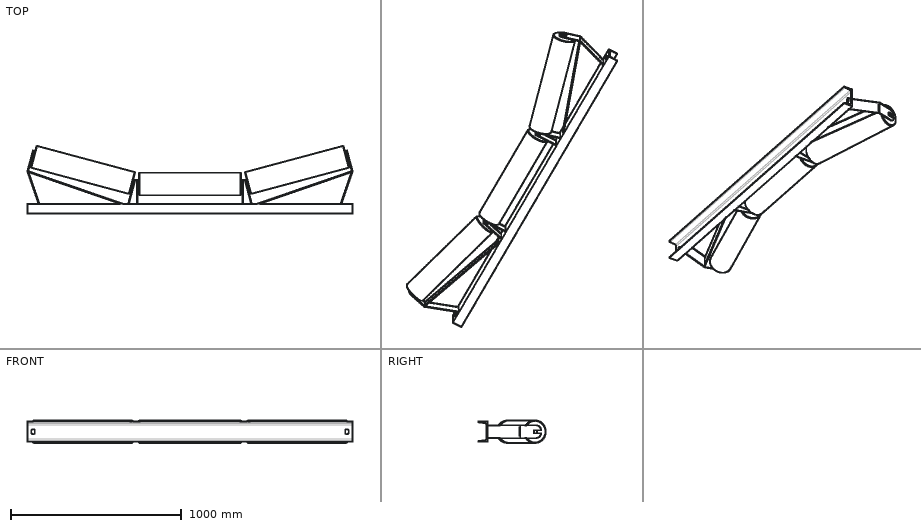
import cadquery as cq
import math

BEAM_LENGTH = 1905.0
BEAM_DEPTH = 57.0
BEAM_WIDTH = 120.0
WEB_THICKNESS = 10.0
FLANGE_TIP = 5.0
FLANGE_ROOT = 11.0
ROOT_RADIUS = 8.0
TOE_RADIUS = 4.0
SLOT_INSET = 35.0
SLOT_LENGTH = 30.0
SLOT_WIDTH = 21.0

ROLLER_DIAMETER = 133.0
ROLLER_LENGTH = 598.0
ROLLER_CHAMFER = 4.0
SPINDLE_SIDE = 20.0
CENTRE_ROLLER_Y = 173.0
WING_ROLLER_X = 627.0
WING_ROLLER_Y = 255.0
WING_TILT = math.radians(15.0)

INNER_THICKNESS = 4.8
OUTER_THICKNESS = 5.0
BRACKET_WIDTH = 75.0
BRACE_WIDTH = 50.0
ROLLER_GAP = 8.0
INNER_BRACKET_TOP = 198.0
INNER_BEND_RADIUS = 5.0
EAR_HEIGHT = 35.0
EAR_RADIUS = 30.0
UPRIGHT_LEAN = math.radians(19.0)

PLATE_NEAR = ROLLER_LENGTH / 2 + ROLLER_GAP
INNER_PLATE_FAR = PLATE_NEAR + INNER_THICKNESS
OUTER_PLATE_FAR = PLATE_NEAR + OUTER_THICKNESS


def wing_point(along, above):
    """Point at `along` the axis of the +X wing roller, outwards, and `above` it, square to the axis."""
    x = WING_ROLLER_X + along * math.cos(WING_TILT) - above * math.sin(WING_TILT)
    y = WING_ROLLER_Y + along * math.sin(WING_TILT) + above * math.cos(WING_TILT)
    return x, y


def wing_plane_at_y(along, y):
    """Point of that height on the plane that crosses the wing roller axis square at `along`."""
    axis_x, axis_y = wing_point(along, 0)
    return axis_x - (y - axis_y) * math.tan(WING_TILT), y


def wing_plane_at_x(along, x):
    """Point with that X on the plane that crosses the wing roller axis square at `along`."""
    axis_x, axis_y = wing_point(along, 0)
    return x, axis_y - (x - axis_x) / math.tan(WING_TILT)


def place_on_wing(shape):
    """Move a shape built on the X axis about the origin onto the axis of the +X wing roller."""
    tilted = shape.rotate((0, 0, 0), (0, 0, 1), math.degrees(WING_TILT))
    return tilted.translate((WING_ROLLER_X, WING_ROLLER_Y, 0))


def mirrored(shape):
    """The same body on the -X side."""
    return shape.mirror("YZ")


def strip(width, thickness, *face_points):
    """Flat bar with mitred bends: the points run along one face, and the other lies to their right."""
    normals = []
    for (x0, y0), (x1, y1) in zip(face_points, face_points[1:]):
        length = math.hypot(x1 - x0, y1 - y0)
        normals.append(((y1 - y0) / length, (x0 - x1) / length))
    other_face = []
    for (x, y), before, after in zip(face_points, normals[:1] + normals, normals + normals[-1:]):
        mitre = thickness / (1 + before[0] * after[0] + before[1] * after[1])
        other_face.append((x + mitre * (before[0] + after[0]), y + mitre * (before[1] + after[1])))
    outline = list(face_points) + other_face[::-1]
    return cq.Workplane("XY").polyline(outline).close().extrude(width / 2, both=True)


def trim_to_beam(bar):
    """Cut the foot of a strip flush with the top of the beam."""
    return bar.cut(cq.Workplane("XY").box(2 * BEAM_LENGTH, 2 * BEAM_DEPTH, BEAM_WIDTH))


def spindle_slots(reach):
    """Cutter for the open-topped slots around a spindle on the X axis, out to `reach` on each side."""
    slot_top = 2 * EAR_HEIGHT
    depth = slot_top + SPINDLE_SIDE / 2
    cutter = cq.Workplane("XY").box(2 * reach, depth, SPINDLE_SIDE)
    return cutter.translate((0, slot_top - depth / 2, 0))


def along_beam(profile_point):
    """Selector for the edge that runs the length of the beam through a profile point."""
    return cq.selectors.NearestToPointSelector((0, *profile_point))


def make_beam():
    half_width = BEAM_WIDTH / 2
    web_bottom = BEAM_DEPTH - WEB_THICKNESS
    lower_toe = (0, -half_width + FLANGE_TIP)
    lower_root = (web_bottom, -half_width + FLANGE_ROOT)
    upper_root = (web_bottom, half_width - FLANGE_ROOT)
    upper_toe = (0, half_width - FLANGE_TIP)
    profile = [
        (0, half_width),
        (BEAM_DEPTH, half_width),
        (BEAM_DEPTH, -half_width),
        (0, -half_width),
        lower_toe,
        lower_root,
        upper_root,
        upper_toe,
    ]
    start = cq.Workplane("YZ", origin=(-BEAM_LENGTH / 2, 0, 0))
    beam = start.polyline(profile).close().extrude(BEAM_LENGTH)
    beam = beam.edges(along_beam(lower_root) + along_beam(upper_root)).fillet(ROOT_RADIUS)
    beam = beam.edges(along_beam(lower_toe) + along_beam(upper_toe)).fillet(TOE_RADIUS)
    slot_x = BEAM_LENGTH / 2 - SLOT_INSET
    mounting_slots = (
        cq.Workplane("XZ")
        .pushPoints([(-slot_x, 0), (slot_x, 0)])
        .slot2D(SLOT_LENGTH, SLOT_WIDTH, 90)
        .extrude(-BEAM_DEPTH)
    )
    return beam.cut(mounting_slots)


def make_roller(left_reach, right_reach):
    """Roller on the X axis, its drum centred on the origin and its spindle reaching out to each side."""
    drum_start = cq.Workplane("YZ", origin=(-ROLLER_LENGTH / 2, 0, 0))
    drum = drum_start.circle(ROLLER_DIAMETER / 2).extrude(ROLLER_LENGTH)
    drum = drum.faces("<X or >X").edges().chamfer(ROLLER_CHAMFER)
    spindle_start = cq.Workplane("YZ", origin=(-left_reach, 0, 0))
    spindle = spindle_start.rect(SPINDLE_SIDE, SPINDLE_SIDE).extrude(left_reach + right_reach)
    return drum.union(spindle)


def make_inner_bracket():
    """Inverted U on the +X side, between the centre roller and the wing roller."""
    bracket = strip(
        BRACKET_WIDTH,
        INNER_THICKNESS,
        (PLATE_NEAR, 0),
        (PLATE_NEAR, INNER_BRACKET_TOP),
        wing_plane_at_y(-PLATE_NEAR, INNER_BRACKET_TOP),
        wing_plane_at_y(-PLATE_NEAR, 0),
    )
    bracket = bracket.faces(">Y").edges("|Z").fillet(INNER_BEND_RADIUS)
    bracket = bracket.cut(spindle_slots(INNER_PLATE_FAR).translate((0, CENTRE_ROLLER_Y, 0)))
    return trim_to_beam(bracket.cut(place_on_wing(spindle_slots(INNER_PLATE_FAR))))


OUTER_BEND = wing_plane_at_x(OUTER_PLATE_FAR, BEAM_LENGTH / 2)


def upright_point(down, inward):
    """Point `down` the leaning face of the outer bracket from its bend, and `inward` from that face."""
    x = OUTER_BEND[0] - down * math.sin(UPRIGHT_LEAN) - inward * math.cos(UPRIGHT_LEAN)
    y = OUTER_BEND[1] - down * math.cos(UPRIGHT_LEAN) + inward * math.sin(UPRIGHT_LEAN)
    return x, y


def make_outer_bracket():
    """Bent upright on the +X side, with a round-cornered ear at the outer end of the wing roller."""
    tip = wing_point(OUTER_PLATE_FAR, EAR_HEIGHT)
    foot = upright_point(OUTER_BEND[1] / math.cos(UPRIGHT_LEAN), 0)
    bracket = strip(BRACKET_WIDTH, OUTER_THICKNESS, tip, OUTER_BEND, foot)
    along_axis = cq.Vector(math.cos(WING_TILT), math.sin(WING_TILT), 0)
    ear_top = bracket.faces(cq.selectors.NearestToPointSelector((*tip, 0)))
    bracket = ear_top.edges(cq.selectors.ParallelDirSelector(along_axis)).fillet(EAR_RADIUS)
    return trim_to_beam(bracket.cut(place_on_wing(spindle_slots(OUTER_PLATE_FAR))))


def make_brace():
    """Straight bar on the +X side, square to the leaning upright, from its inner face to the beam."""
    inner_bend_drop = OUTER_THICKNESS * math.tan((WING_TILT + UPRIGHT_LEAN) / 2)
    start = upright_point(inner_bend_drop + OUTER_THICKNESS, OUTER_THICKNESS)
    length = start[1] / math.sin(UPRIGHT_LEAN)
    end = (start[0] - length * math.cos(UPRIGHT_LEAN), 0)
    return trim_to_beam(strip(BRACE_WIDTH, OUTER_THICKNESS, start, end))


beam = make_beam()
centre_roller = make_roller(INNER_PLATE_FAR, INNER_PLATE_FAR).translate((0, CENTRE_ROLLER_Y, 0))
wing_roller = place_on_wing(make_roller(INNER_PLATE_FAR, OUTER_PLATE_FAR))
inner_bracket = make_inner_bracket()
outer_bracket = make_outer_bracket()
brace = make_brace()

bodies = [beam, centre_roller]
for body in (wing_roller, inner_bracket, outer_bracket, brace):
    bodies += [body, mirrored(body)]

result = cq.Compound.makeCompound([body.val() for body in bodies])